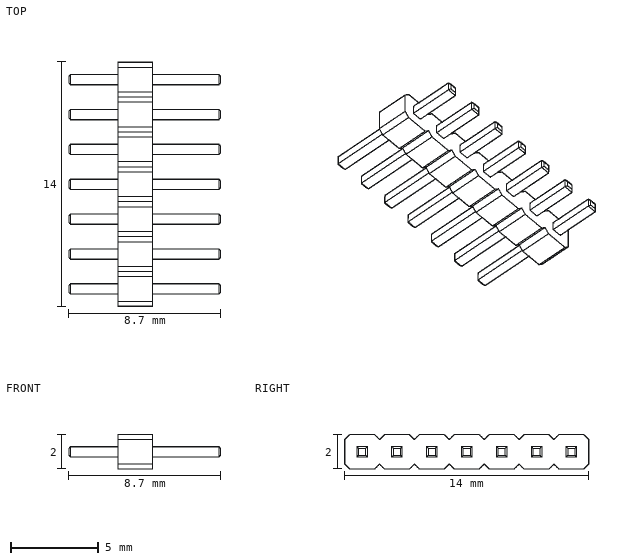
import cadquery as cq

pin_count = 7
row_length = 14.0
pitch = row_length / pin_count
housing_size = pitch
corner_cut = 0.3

pin_length = 8.7
pin_width = 0.6
pin_left_reach = 2.8
tip_chamfer = 0.1


def make_segment(y):
    """One octagonal housing segment, extruded along X and centred on y."""
    return (
        cq.Workplane("YZ")
        .center(y, 0)
        .rect(pitch, housing_size)
        .extrude(housing_size / 2, both=True)
        .edges("|X")
        .chamfer(corner_cut)
    )


def make_pin(y):
    """One square pin along X with both tips chamfered, centred on y."""
    pin_start = -housing_size / 2 - pin_left_reach
    return (
        cq.Workplane("YZ", origin=(pin_start, y, 0))
        .rect(pin_width, pin_width)
        .extrude(pin_length)
        .faces("<X or >X")
        .chamfer(tip_chamfer)
    )


pin_positions = [(i - (pin_count - 1) / 2) * pitch for i in range(pin_count)]

result = make_segment(pin_positions[0])
for y in pin_positions[1:]:
    result = result.union(make_segment(y))
for y in pin_positions:
    result = result.union(make_pin(y))
result = result.clean()